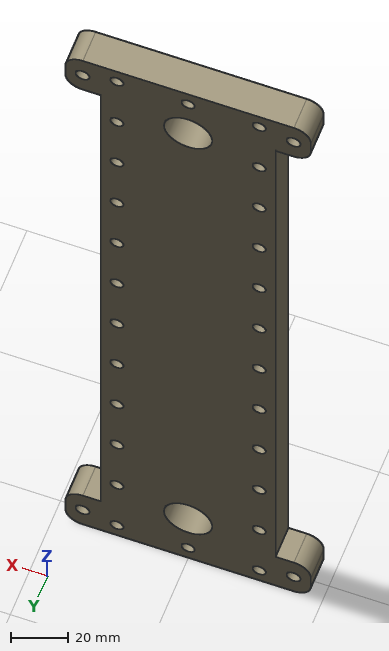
import cadquery as cq

length = 304.8
end_width = 91.5
thickness = 12.8

body_width = 65.2
end_height = 19.0
corner_radius = 6.5

rim_hole_diameter = 5.0
rim_pitch = 26.5
rim_rows = 12
rim_hole_x = rim_pitch

ear_hole_diameter = 5.2
ear_hole_x = 39.3
ear_hole_z = (length - end_height) / 2
large_hole_diameter = 18.0
large_hole_z = 126.8


def plate(width, height, center_z=0):
    """Rectangular plate centred in X and Y."""
    return cq.Workplane("XY").box(width, thickness, height).translate((0, 0, center_z))


def holes(points, diameter):
    """Cutters running through the thickness at (x, z) points."""
    back_face = cq.Workplane("XZ", origin=(0, thickness / 2, 0))
    return back_face.pushPoints(points).circle(diameter / 2).extrude(thickness)


result = plate(body_width, length)
for side in (-1, 1):
    end_bar = plate(end_width, end_height, side * (length - end_height) / 2)
    result = result.union(end_bar.edges("|Y").fillet(corner_radius))

rim_top_z = (rim_rows - 1) * rim_pitch / 2
rim_points = [
    (x, rim_top_z - row * rim_pitch)
    for x in (-rim_hole_x, rim_hole_x)
    for row in range(rim_rows)
]
rim_points += [(0, -rim_top_z), (0, rim_top_z)]
result = result.cut(holes(rim_points, rim_hole_diameter))

ear_points = [(x, z) for x in (-ear_hole_x, ear_hole_x) for z in (-ear_hole_z, ear_hole_z)]
result = result.cut(holes(ear_points, ear_hole_diameter))

large_points = [(0, -large_hole_z), (0, large_hole_z)]
result = result.cut(holes(large_points, large_hole_diameter))